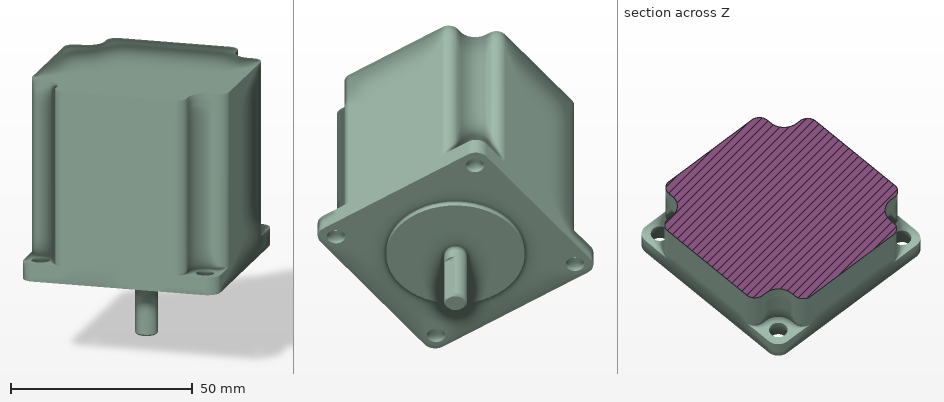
import cadquery as cq


side = 56.4
height = 55.0
flange_thickness = 5.0
flange_corner_radius = 3.6

hole_spacing = 47.14
hole_diameter = 5.1

relief_depth = 9.4
relief_inner_radius = 5.0
relief_edge_radius = 3.0

pilot_diameter = 38.1
pilot_height = 1.6

shaft_diameter = 6.35
shaft_reach = 20.6
shaft_chamfer = 0.5
flat_length = 15.0
flat_depth = 0.5


def make_flange():
    """Rounded square plate with one through hole in each corner."""
    plate = (
        cq.Workplane("XY")
        .rect(side, side)
        .extrude(flange_thickness)
        .edges("|Z")
        .fillet(flange_corner_radius)
    )
    holes = (
        cq.Workplane("XY")
        .rect(hole_spacing, hole_spacing, forConstruction=True)
        .vertices()
        .circle(hole_diameter / 2)
        .extrude(flange_thickness)
    )
    return plate.cut(holes)


def make_housing():
    """Square block whose four corners are notched, with every notch edge rounded."""
    block_height = height - flange_thickness
    inner_width = side - 2 * relief_depth
    base = cq.Workplane("XY").workplane(offset=flange_thickness)
    cross = base.rect(side, inner_width).extrude(block_height)
    cross = cross.union(base.rect(inner_width, side).extrude(block_height))

    reach = inner_width / 2 + relief_depth / 2
    inner_edges = cq.selectors.BoxSelector((-reach, -reach, 0), (reach, reach, height))
    cross = cross.edges("|Z").edges(inner_edges).fillet(relief_inner_radius)

    for wall in ("<X", ">X", "<Y", ">Y"):
        cross = cross.faces(wall).edges("|Z").fillet(relief_edge_radius)
    return cross


def make_pilot():
    """Shallow centring disc below the flange."""
    return cq.Workplane("XY").circle(pilot_diameter / 2).extrude(-pilot_height)


def make_shaft():
    """Round shaft with a chamfered tip and a flat running up from the tip."""
    shaft_radius = shaft_diameter / 2
    shaft = (
        cq.Workplane("XY")
        .circle(shaft_radius)
        .extrude(-shaft_reach)
        .faces("<Z")
        .chamfer(shaft_chamfer)
    )
    flat_cutter = (
        cq.Workplane("XY")
        .box(shaft_diameter, flat_depth, flat_length, centered=(True, False, False))
        .translate((0, shaft_radius - flat_depth, -shaft_reach))
    )
    return shaft.cut(flat_cutter)


result = make_flange().union(make_housing()).union(make_pilot()).union(make_shaft())